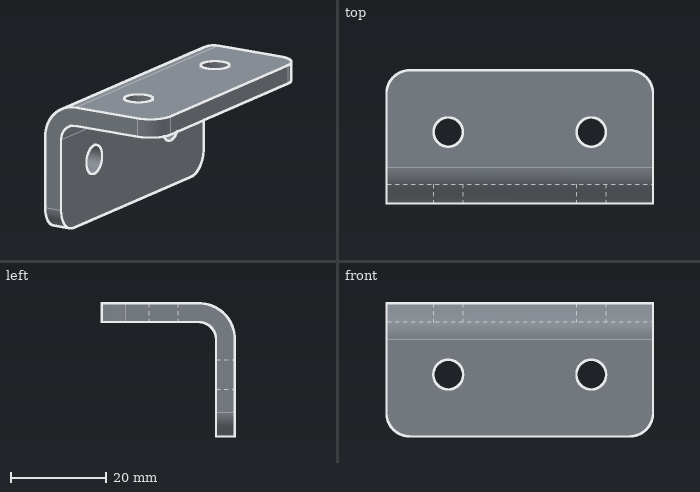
import cadquery as cq

length = 56.0
leg = 28.0
thickness = 4.0
inner_bend_radius = 3.6
corner_radius = 5.0
horizontal_leg_hole_diameter = 6.1
vertical_leg_hole_diameter = 6.2
hole_spacing = 30.0
hole_edge_distance = 13.0

outer_bend_radius = inner_bend_radius + thickness
hole_offset = leg - hole_edge_distance
hole_xs = (-hole_spacing / 2, hole_spacing / 2)


def bent_sheet():
    """L-shaped sheet: outer faces at Y = 0 and Z = 0, legs running to +Y and -Z."""
    profile = (
        cq.Workplane("YZ")
        .moveTo(leg, 0)
        .lineTo(outer_bend_radius, 0)
        .radiusArc((0, -outer_bend_radius), -outer_bend_radius)
        .lineTo(0, -leg)
        .lineTo(thickness, -leg)
        .lineTo(thickness, -outer_bend_radius)
        .radiusArc((outer_bend_radius, -thickness), inner_bend_radius)
        .lineTo(leg, -thickness)
        .close()
    )
    return profile.extrude(length / 2, both=True)


def round_free_corners(body):
    """Round the two end corners of the horizontal leg and of the vertical leg."""
    body = body.faces(">Y").edges("|Z").fillet(corner_radius)
    return body.faces("<Z").edges("|Y").fillet(corner_radius)


def hole_pair(plane, offset, diameter):
    """Two cutters through one leg, starting on its outer face."""
    return (
        cq.Workplane(plane)
        .pushPoints([(x, offset) for x in hole_xs])
        .circle(diameter / 2)
        .extrude(-thickness)
    )


bracket = round_free_corners(bent_sheet())
bracket = bracket.cut(hole_pair("XY", hole_offset, horizontal_leg_hole_diameter))
result = bracket.cut(hole_pair("XZ", -hole_offset, vertical_leg_hole_diameter))